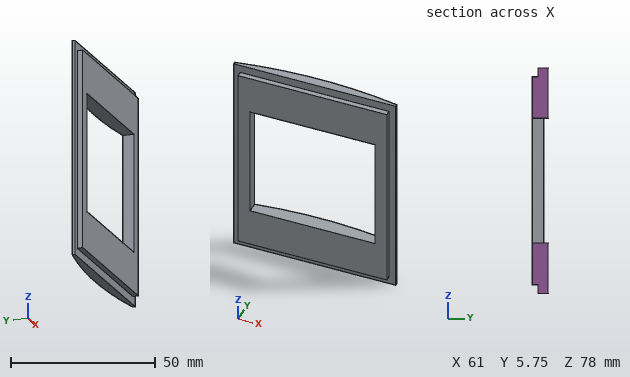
import cadquery as cq

cover_width = 61.0
cover_height = 78.0
edge_thickness = 1.0
total_depth = 5.75

plinth_width = 56.0
plinth_height = 72.0
plinth_depth = 2.0

window_width = 47.0
window_height = 43.0

crown_y = total_depth - plinth_depth


def centered_block(width, height, y_start, y_end):
    """Block centred on X and Z, spanning y_start to y_end."""
    depth = y_end - y_start
    return cq.Workplane("XY").box(width, depth, height).translate((0, y_start + depth / 2, 0))


def make_cover():
    """Constant profile along Z: flat back, thin side edges and an arched front."""
    half_width = cover_width / 2
    return (
        cq.Workplane("XY")
        .workplane(offset=-cover_height / 2)
        .moveTo(-half_width, 0)
        .lineTo(half_width, 0)
        .lineTo(half_width, edge_thickness)
        .threePointArc((0, crown_y), (-half_width, edge_thickness))
        .close()
        .extrude(cover_height)
    )


cover = make_cover()
plinth = centered_block(plinth_width, plinth_height, -plinth_depth, 0)
window = centered_block(window_width, window_height, -plinth_depth, crown_y)

result = cover.union(plinth).cut(window)